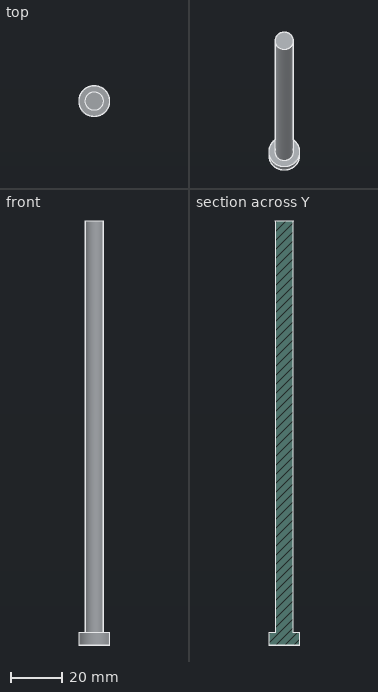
import cadquery as cq

total_length = 165.0
head_diameter = 12.0
head_height = 5.1
shank_diameter = 7.1

head = cq.Workplane("XY").circle(head_diameter / 2).extrude(head_height)
shank = cq.Workplane("XY").circle(shank_diameter / 2).extrude(total_length)

result = head.union(shank)